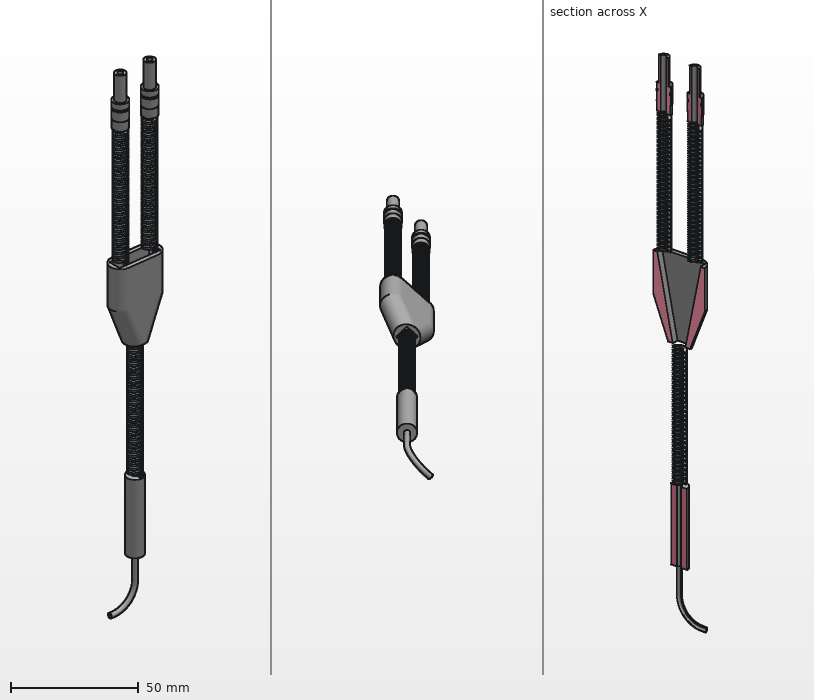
import cadquery as cq

TUBE_DIAMETER = 2.5
TUBE_BORE = 1.5
TUBE_BEND_RADIUS = 11.2
TUBE_STRAIGHT = 12.5
TUBE_REACH = 13.0

HANDLE_DIAMETER = 8.0
HANDLE_LENGTH = 36.0

HOSE_DIAMETER = 6.5
HOSE_LENGTH = 62.0
STRIP_HEIGHT = 1.0
STRIP_THICKNESS = 1.5
HOSE_PITCH = 2.0

HOUSING_THICKNESS = 10.2
HOUSING_TAPER = 19.5
HOUSING_STRAIGHT = 18.6
CAVITY_WIDTH = 6.0
BRANCH_SPACING = 15.2

CONNECTOR_LENGTH = 25.0
TIP_DIAMETER = 5.0
TIP_LENGTH = 12.5
CONNECTOR_BORE = 2.5
COLLAR_DIAMETER = 7.2
COLLAR_LENGTH = 8.2
GROOVE_DIAMETER = 6.2
GROOVE_WIDTH = 0.7
GROOVE_DROP = 3.0
SLEEVE_DIAMETER = 7.0

bend_start = TUBE_DIAMETER / 2 + TUBE_BEND_RADIUS
handle_bottom = bend_start + TUBE_STRAIGHT
handle_top = handle_bottom + HANDLE_LENGTH
housing_bottom = handle_top + HOSE_LENGTH
taper_top = housing_bottom + HOUSING_TAPER
housing_top = taper_top + HOUSING_STRAIGHT
connector_bottom = housing_top + HOSE_LENGTH

housing_height = HOUSING_TAPER + HOUSING_STRAIGHT
branch_offset = BRANCH_SPACING / 2
branch_sides = (1, -1)


def make_tube():
    """Hollow tube running through the handle, then bending a quarter turn towards -Y."""
    path = (
        cq.Workplane("YZ")
        .moveTo(0, handle_top)
        .lineTo(0, bend_start)
        .radiusArc((-TUBE_BEND_RADIUS, bend_start - TUBE_BEND_RADIUS), TUBE_BEND_RADIUS)
        .lineTo(-TUBE_REACH, bend_start - TUBE_BEND_RADIUS)
    )
    ring = cq.Workplane("XY", origin=(0, 0, handle_top)).circle(TUBE_DIAMETER / 2).circle(TUBE_BORE / 2)
    return ring.sweep(path)


def make_handle():
    """Plain round handle with a through hole that fits the tube."""
    return (
        cq.Workplane("XY", origin=(0, 0, handle_bottom))
        .circle(HANDLE_DIAMETER / 2)
        .circle(TUBE_DIAMETER / 2)
        .extrude(HANDLE_LENGTH)
    )


def make_coil():
    """Flexible hose standing on Z = 0: a right-handed coil of flat strip, HOSE_LENGTH tall."""
    coil_radius = (HOSE_DIAMETER - STRIP_THICKNESS) / 2
    helix = cq.Wire.makeHelix(HOSE_PITCH, HOSE_LENGTH - STRIP_HEIGHT, coil_radius)
    strip = cq.Workplane("XZ", origin=(coil_radius, 0, 0)).rect(STRIP_THICKNESS, STRIP_HEIGHT)
    coil = strip.sweep(cq.Workplane(helix), isFrenet=True)
    return coil.translate((0, 0, STRIP_HEIGHT / 2))


def rounded_side(side):
    """One full-round side of the housing, mitred where it turns inward to the trunk axis."""
    slope = branch_offset / HOUSING_TAPER
    overrun = HOUSING_THICKNESS / 2
    path = (
        cq.Workplane("YZ")
        .moveTo(side * branch_offset, housing_top)
        .lineTo(side * branch_offset, taper_top)
        .lineTo(-side * slope * overrun, housing_bottom - overrun)
    )
    return (
        cq.Workplane("XY", origin=(0, side * branch_offset, housing_top))
        .circle(HOUSING_THICKNESS / 2)
        .sweep(path, transition="right")
    )


def make_housing():
    """Y-shaped housing: a flat plate with full-round sides and a tapered through cavity."""
    plate = (
        cq.Workplane("YZ")
        .moveTo(0, housing_bottom)
        .lineTo(branch_offset, taper_top)
        .lineTo(branch_offset, housing_top)
        .lineTo(-branch_offset, housing_top)
        .lineTo(-branch_offset, taper_top)
        .close()
        .extrude(HOUSING_THICKNESS / 2, both=True)
    )
    for side in branch_sides:
        plate = plate.union(rounded_side(side))
    envelope = (
        cq.Workplane("XY", origin=(0, 0, housing_bottom))
        .rect(HOUSING_THICKNESS, BRANCH_SPACING + HOUSING_THICKNESS)
        .extrude(housing_height)
    )
    cavity = (
        cq.Workplane("XY", origin=(0, 0, housing_bottom))
        .rect(CAVITY_WIDTH, CAVITY_WIDTH)
        .workplane(offset=housing_height)
        .rect(CAVITY_WIDTH, BRANCH_SPACING + CAVITY_WIDTH)
        .loft(ruled=True)
    )
    return plate.intersect(envelope).cut(cavity)


def make_connector(y):
    """Turned connector: sleeve, grooved collar and narrow tip, bored through."""
    collar_top = CONNECTOR_LENGTH - TIP_LENGTH
    collar_bottom = collar_top - COLLAR_LENGTH
    groove_top = collar_top - GROOVE_DROP
    groove_bottom = groove_top - GROOVE_WIDTH
    bore = CONNECTOR_BORE / 2
    sleeve = SLEEVE_DIAMETER / 2
    collar = COLLAR_DIAMETER / 2
    groove = GROOVE_DIAMETER / 2
    tip = TIP_DIAMETER / 2
    profile = [
        (bore, 0),
        (sleeve, 0),
        (sleeve, collar_bottom),
        (collar, collar_bottom),
        (collar, groove_bottom),
        (groove, groove_bottom),
        (groove, groove_top),
        (collar, groove_top),
        (collar, collar_top),
        (tip, collar_top),
        (tip, CONNECTOR_LENGTH),
        (bore, CONNECTOR_LENGTH),
    ]
    turned = cq.Workplane("XZ").polyline(profile).close().revolve(360, (0, 0, 0), (0, 1, 0))
    return turned.translate((0, y, connector_bottom))


tube = make_tube()
handle = make_handle()
coil = make_coil()
trunk_hose = coil.translate((0, 0, handle_top))
housing = make_housing()
branch_hoses = [coil.translate((0, side * branch_offset, housing_top)) for side in branch_sides]
connectors = [make_connector(side * branch_offset) for side in branch_sides]

result = cq.Compound.makeCompound(
    [body.val() for body in (tube, handle, trunk_hose, housing, *branch_hoses, *connectors)]
)